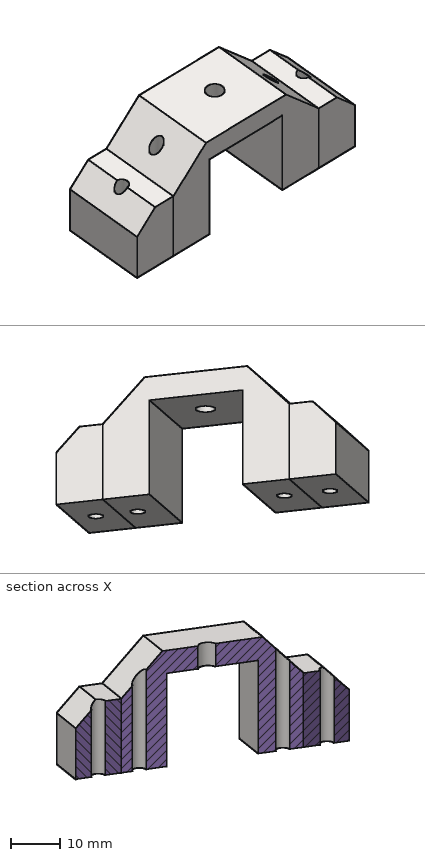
import cadquery as cq

LENGTH = 60.0
WIDTH = LENGTH / 3
HEIGHT = 25.0

BRIDGE_LENGTH = LENGTH * 2 / 3
OPENING = LENGTH / 3
OPENING_HEIGHT = LENGTH / 3
SHOULDER_HEIGHT = 16.0

BLOCK_LENGTH = (LENGTH - BRIDGE_LENGTH) / 2
BLOCK_CHAMFER = BLOCK_LENGTH / 2

CENTER_HOLE_DIAMETER = 4.0
SIDE_HOLE_DIAMETER = 3.0
CENTER_HOLE = (-0.7, 1.25)
SLOPE_HOLES = [(0, 16.0), (0, -15.4)]
BLOCK_HOLES = {1: (0, 25.0), -1: (0.2, -25.15)}


def extrude_profile(points):
    """Extrude a closed (y, z) outline across the width, centred on x = 0."""
    return cq.Workplane("YZ").polyline(points).close().extrude(WIDTH / 2, both=True)


def drill(body, centers, diameter):
    """Cut vertical holes through the full height of a body."""
    drills = cq.Workplane("XY").pushPoints(centers).circle(diameter / 2).extrude(HEIGHT)
    return body.cut(drills)


def make_bridge():
    """Arch with two legs, 45 degree shoulders and a rectangular opening."""
    end = BRIDGE_LENGTH / 2
    inner = OPENING / 2
    top_end = end - (HEIGHT - SHOULDER_HEIGHT)
    half = [
        (inner, OPENING_HEIGHT),
        (inner, 0),
        (end, 0),
        (end, SHOULDER_HEIGHT),
        (top_end, HEIGHT),
    ]
    mirrored = [(-y, z) for y, z in reversed(half)]
    bridge = extrude_profile(half + mirrored)
    bridge = drill(bridge, [CENTER_HOLE], CENTER_HOLE_DIAMETER)
    return drill(bridge, SLOPE_HOLES, SIDE_HOLE_DIAMETER)


def make_end_block(side):
    """Block with a chamfered outer top edge; side is the sign of its y position."""
    inner = BRIDGE_LENGTH / 2
    outer = inner + BLOCK_LENGTH
    outline = [
        (inner, 0),
        (outer, 0),
        (outer, SHOULDER_HEIGHT - BLOCK_CHAMFER),
        (outer - BLOCK_CHAMFER, SHOULDER_HEIGHT),
        (inner, SHOULDER_HEIGHT),
    ]
    block = extrude_profile([(side * y, z) for y, z in outline])
    return drill(block, [BLOCK_HOLES[side]], SIDE_HOLE_DIAMETER)


bridge = make_bridge()
end_blocks = [make_end_block(side) for side in (1, -1)]

result = cq.Compound.makeCompound([bridge.val(), *[block.val() for block in end_blocks]])